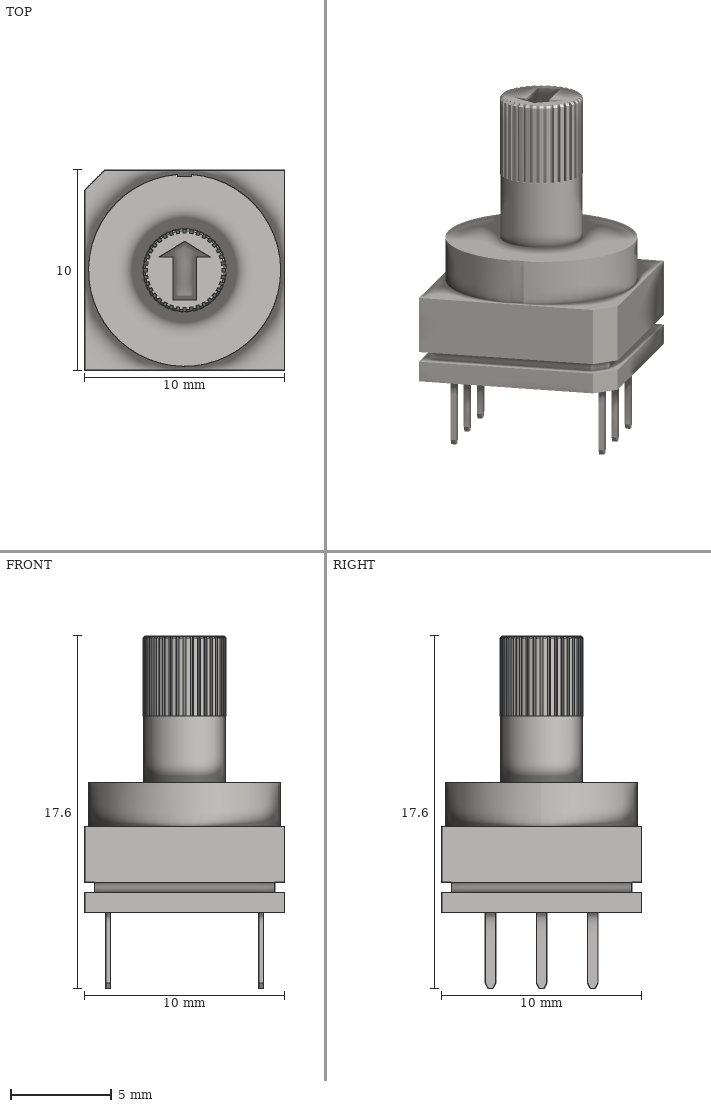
import cadquery as cq

plate_bottom = 3.78
plate_top = 4.8
body_bottom = 5.3
body_top = 8.1
dial_top = 10.3
knurl_bottom = 13.6
knob_top = 17.6

housing_side = 10.0
housing_corner_cut = 1.0
waist_inset = 0.5
waist_side = housing_side - 2 * waist_inset
waist_corner_cut = 0.72

dial_diameter = 9.6
dial_notch_width = 0.7
dial_notch_depth = 0.1
shaft_diameter = 4.1
knurl_diameter = 4.15
groove_count = 36
groove_width = 0.15
groove_depth = 0.21
knurl_chamfer = 0.1

arrow_tip_y = 1.45
arrow_barb_y = 0.65
arrow_tail_y = -1.48
arrow_half_width = 1.28
arrow_stem_half_width = 0.58
arrow_depth = 1.76

pin_thickness = 0.25
pin_width = 0.53
pin_pitch = 2.55
pin_row_x = 3.82
pin_tip_cut_height = 0.26
pin_tip_cut_width = 0.14


def cut_corner_block(side, corner_cut, bottom, top):
    """Square block whose -X +Y vertical edge is cut off."""
    block = cq.Workplane("XY").workplane(offset=bottom).rect(side, side).extrude(top - bottom)
    return block.edges("|Z").edges("<X").edges(">Y").chamfer(corner_cut)


def cylinder(diameter, bottom, top):
    return cq.Workplane("XY").workplane(offset=bottom).circle(diameter / 2).extrude(top - bottom)


def make_housing():
    """Base plate and body with a recessed waist between them."""
    plate = cut_corner_block(housing_side, housing_corner_cut, plate_bottom, plate_top)
    waist = cut_corner_block(waist_side, waist_corner_cut, plate_top, body_bottom)
    body = cut_corner_block(housing_side, housing_corner_cut, body_bottom, body_top)
    return plate.union(waist).union(body)


def make_dial():
    """Flat disc with a shallow notch in its +Y rim."""
    notch = (
        cq.Workplane("XY")
        .workplane(offset=body_top)
        .center(0, dial_diameter / 2)
        .rect(dial_notch_width, 2 * dial_notch_depth)
        .extrude(dial_top - body_top)
    )
    return cylinder(dial_diameter, body_top, dial_top).cut(notch)


def make_knob():
    """Plain shaft, knurled grip and arrow recess."""
    shaft = cylinder(shaft_diameter, dial_top, knurl_bottom)
    grooves = (
        cq.Workplane("XY")
        .workplane(offset=knurl_bottom)
        .polarArray(knurl_diameter / 2, 0, 360, groove_count)
        .rect(2 * groove_depth, groove_width)
        .extrude(knob_top - knurl_bottom)
    )
    grip = cylinder(knurl_diameter, knurl_bottom, knob_top)
    grip = grip.faces(">Z").chamfer(knurl_chamfer).cut(grooves)
    arrow = (
        cq.Workplane("XY")
        .workplane(offset=knob_top - arrow_depth)
        .polyline([
            (0, arrow_tip_y),
            (arrow_half_width, arrow_barb_y),
            (arrow_stem_half_width, arrow_barb_y),
            (arrow_stem_half_width, arrow_tail_y),
            (-arrow_stem_half_width, arrow_tail_y),
            (-arrow_stem_half_width, arrow_barb_y),
            (-arrow_half_width, arrow_barb_y),
        ])
        .close()
        .extrude(arrow_depth)
    )
    return shaft.union(grip).cut(arrow)


def make_pin(x, y):
    """Flat blade pin with its two tip corners cut off."""
    half_width = pin_width / 2
    half_tip = half_width - pin_tip_cut_width
    return (
        cq.Workplane("YZ")
        .workplane(offset=x - pin_thickness / 2)
        .polyline([
            (y - half_width, plate_bottom),
            (y - half_width, pin_tip_cut_height),
            (y - half_tip, 0),
            (y + half_tip, 0),
            (y + half_width, pin_tip_cut_height),
            (y + half_width, plate_bottom),
        ])
        .close()
        .extrude(pin_thickness)
    )


result = make_housing().union(make_dial()).union(make_knob())
for pin_x in (-pin_row_x, pin_row_x):
    for pin_y in (-pin_pitch, 0, pin_pitch):
        result = result.union(make_pin(pin_x, pin_y))